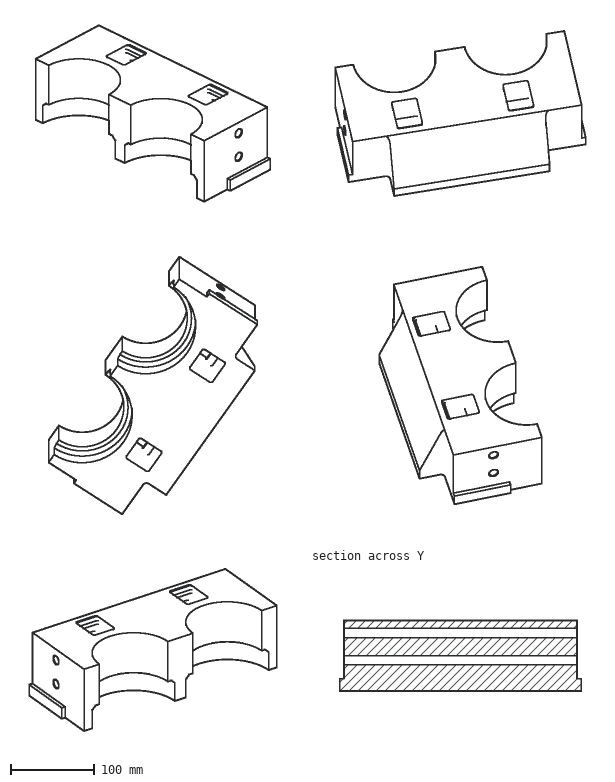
import cadquery as cq
import math

block_width = 280.0
block_depth = 110.0
height = 85.0

overall_width = 290.0
tab_depth = 70.0
tab_height = 15.0
ramp_width = 190.2
ramp_depth = 30.2
ramp_foot_height = 15.0
ramp_fillet = 5.0

bore_spacing = 136.0
bore_radius = 50.0
counterbore_radius = 60.0
counterbore_height = 30.0
counterbore_chamfer = 5.0

slot_width = 30.7
slot_corner_radius = 2.5
slot_mouth_front = 62.4
slot_knee_front = 69.5
slot_throat_front = 73.0
front_mouth_slope = 60
front_knee_slope = 70
slot_mouth_back = 102.0
slot_throat_back = 98.3
lip_step = 30
lip_facet = 5.0
lip_underside = 15.0
slot_side_depth = 24.5

cross_hole_diameter = 10.5
cross_hole_chamfer = 0.72
cross_hole_y = 60.0
cross_hole_heights = (37.0, 70.0)

bore_positions = (-bore_spacing / 2, bore_spacing / 2)


def make_block():
    body = cq.Workplane("XY").box(block_width, block_depth, height, centered=(True, False, False))
    tabs = (
        cq.Workplane("XY")
        .box(overall_width, tab_depth, tab_height, centered=(True, False, False))
        .translate((0, block_depth - tab_depth, 0))
    )
    return body.union(tabs)


def make_ramp():
    """Wedge on the rear face, blended into it by a concave fillet on each side."""
    half = ramp_width / 2
    back = block_depth + ramp_depth
    fillet_end = block_depth + ramp_fillet
    bulge = ramp_fillet * (1 - math.sqrt(0.5))
    plan = (
        cq.Workplane("XY")
        .moveTo(-half, back)
        .lineTo(half, back)
        .lineTo(half, fillet_end)
        .threePointArc((half + bulge, block_depth + bulge), (half + ramp_fillet, block_depth))
        .lineTo(-half - ramp_fillet, block_depth)
        .threePointArc((-half - bulge, block_depth + bulge), (-half, fillet_end))
        .close()
        .extrude(height)
    )
    side = (
        cq.Workplane("YZ")
        .polyline([(block_depth, 0), (back, 0), (back, ramp_foot_height), (block_depth, height)])
        .close()
        .extrude(overall_width / 2, both=True)
    )
    return plan.intersect(side)


def make_bore(x):
    """Stepped round cut with a chamfered counterbore at the bottom."""
    bore = cq.Workplane("XY").circle(bore_radius).extrude(height)
    counterbore = (
        cq.Workplane("XY")
        .circle(counterbore_radius)
        .extrude(counterbore_height)
        .faces(">Z")
        .chamfer(counterbore_chamfer)
    )
    return bore.union(counterbore).translate((x, 0, 0))


def back_wall_points():
    """Back wall as a faceted lip that turns through equal steps, then a plain vertical wall."""
    step = math.radians(lip_step)
    lip_run = lip_facet * math.sin(step)
    lip_drop = lip_facet * math.cos(step)
    knee_y = slot_throat_back + lip_run
    knee_z = height - (slot_mouth_back - knee_y) * math.tan(step)
    nose_top = knee_z - lip_drop
    nose_bottom = nose_top - lip_facet
    recess_y = slot_throat_back + lip_underside * math.sin(step)
    recess_z = nose_bottom - lip_underside * math.cos(step)
    return [
        (slot_mouth_back, height),
        (knee_y, knee_z),
        (slot_throat_back, nose_top),
        (slot_throat_back, nose_bottom),
        (recess_y, recess_z),
        (recess_y, 0),
    ]


def front_wall_points():
    """Front wall as two steepening slopes, then vertical."""
    mouth_run = slot_knee_front - slot_mouth_front
    knee_run = slot_throat_front - slot_knee_front
    knee_z = height - mouth_run * math.tan(math.radians(front_mouth_slope))
    throat_z = knee_z - knee_run * math.tan(math.radians(front_knee_slope))
    return [
        (slot_mouth_front, height),
        (slot_knee_front, knee_z),
        (slot_throat_front, throat_z),
        (slot_throat_front, 0),
    ]


def slot_section(wall_y, z, inward):
    """Rounded rectangle at height z, reaching from wall_y towards the middle of the slot."""
    center_y = wall_y + inward * slot_side_depth / 2
    return (
        cq.Sketch()
        .rect(slot_width, slot_side_depth)
        .vertices()
        .fillet(slot_corner_radius)
        .moved(cq.Location(cq.Vector(0, center_y, z)))
    )


def make_slot_side(wall_points, inward):
    """One side of the slot: a stack of slanted prisms that follow the wall downwards."""
    side = cq.Workplane("XY")
    for (upper_y, upper_z), (lower_y, lower_z) in zip(wall_points, wall_points[1:]):
        lower = slot_section(lower_y, lower_z, inward)
        upper = slot_section(upper_y, upper_z, inward)
        prism = cq.Workplane("XY").placeSketch(lower, upper).loft(ruled=True)
        side = side.add(prism)
    return side.combine()


def make_slot(x):
    """Through slot with rounded corners; its front and back sides overlap in the middle."""
    front = make_slot_side(front_wall_points(), 1)
    back = make_slot_side(back_wall_points(), -1)
    return front.union(back).translate((x, 0, 0))


def make_cross_hole(z):
    """Hole along X through the whole block, chamfered at both side faces."""
    return (
        cq.Workplane("YZ", origin=(-block_width / 2, cross_hole_y, z))
        .circle(cross_hole_diameter / 2 + cross_hole_chamfer)
        .workplane(offset=cross_hole_chamfer)
        .circle(cross_hole_diameter / 2)
        .loft(ruled=True)
        .mirror("YZ", union=True)
        .union(
            cq.Workplane("YZ", origin=(0, cross_hole_y, z))
            .circle(cross_hole_diameter / 2)
            .extrude(block_width / 2, both=True)
        )
    )


part = make_block().union(make_ramp())
for bore_x in bore_positions:
    part = part.cut(make_bore(bore_x)).cut(make_slot(bore_x))

for hole_z in cross_hole_heights:
    part = part.cut(make_cross_hole(hole_z))

result = part